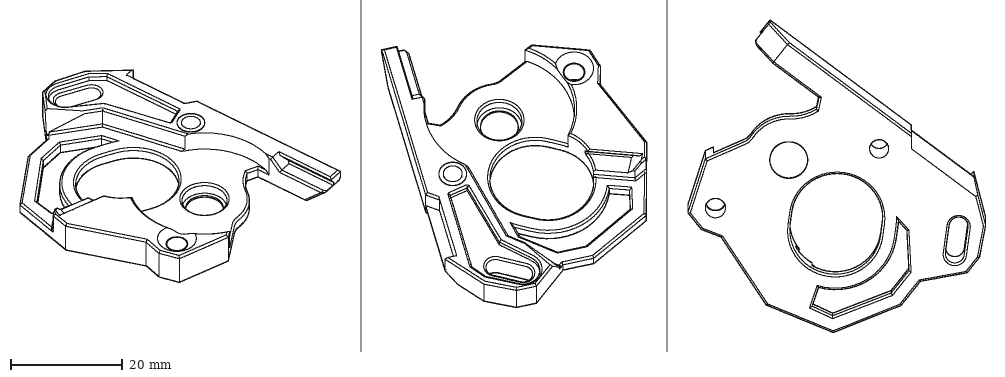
import cadquery as cq
import math

PLATE_TOP = 6.5
BOSS_TOP = 6.6
FLOOR_TOP = 2.6
LEDGE_TOP = 4.45
EDGE = 0.4
CLEAR = 5.0

LENGTH = 56.0
DEPTH = 41.37
ARM_FRONT = 36.5
ARM_SLOPE_TOP = 4.3
LEFT_CORNERS = [(42.85, 4.05), (39.2, 5.1), (25.0, 0), (12.3, 3.3), (5.7, 14.75), (5.7, 20.45),
                (0, 26.85), (0, 30.55), (2.75, 35.9), (9.65, DEPTH)]
THROAT = (41.1, ARM_FRONT)
THROAT_TIP = (40.15, 34.5)
PAD_RIGHT = (50.35, 14.95)
PAD_FOOT = (46.7, 5.05)

SEAT = (38.35, 24.0)
SEAT_BORE = 6.8
SEAT_COUNTERBORE = 8.1
SEAT_LIP = 0.4
SEAT_WALL_RADIUS = 8.1
SEAT_WALL_MIDDLE = 25.0
THROAT_TANGENT = 54.0
FLANK_NORMAL = 28.0
FLANK_FILLET = 3.0
RECESS_RADIUS = 13.55

LEAN = 60.0
OPENING = (24.25, 19.7)
OPENING_RADIUS = 8.2
OPENING_TRAVEL = 2.4
RING_RADIUS = 11.1
WINDOW = [(8.55, 20.75), (8.55, 15.5), (14.3, 5.75), (18.3, 4.9), (21.5, 14.0),
          (18.0, 27.4), (13.45, 26.5)]

BOSS = (26.75, 35.6)
BOSS_DIAMETER = 5.0
BOSS_HOLE = 3.4
COUNTERSINK = (43.35, 8.85)
COUNTERSINK_DIAMETER = 7.0
COUNTERSINK_FLOOR = 3.9
COUNTERSINK_HOLE = 3.6
COUNTERSINK_DEPTH = 1.3

SLOT = (5.23, 30.57)
SLOT_WIDTH = 3.4
SLOT_TRAVEL = 5.2
POCKET_DEPTH = 1.3
POCKET_RADIUS = 3.0
POCKET_FOOT_NORMAL = -45.0
POCKET_CORNERS = [(10.8, 31.0), (23.5, 33.75), (22.7, 37.1), (6.85, 37.1), (4.3, 35.2)]

RIM_ARC_END = (31.0, 33.1)
RIM_CORNER = (11.75, 29.15)
RIM_FOOT = (4.3, 20.45)
FACET = [(3.6, 23.4, PLATE_TOP), (10.1, 27.25, PLATE_TOP), (5.15, 21.2, FLOOR_TOP)]
PAD_WALL_ANGLE = 70.0
PAD_WALL_LENGTH = 12.0
RECESS_INNER = (36.0, 24.0)
PAD_WALL_CORNER = (20.1, 3.45)
PAD_FOOT_ANGLE = -60.0
PAD_WALL_FOOT = (21.45, 1.05)

LIP_HEIGHT = 0.5
LIP_OVERHANG = 0.25
UNDERCUT = 0.6
ROOT_HEIGHT = 0.4
ROOT_SLOPE = 0.3
ARM_LEDGE_START = 44.1
ARM_LEDGE_WIDTH = 2.25
PAD_LEDGE_WIDTH = 3.05
PAD_LEDGE_SETBACK = 1.1
PAD_RAMP_SKEW = 5.4

NOTCH_DEPTH = 2.15
NOTCH_START = 9.65
NOTCH_END = 22.2
NOTCH_MOUTH = 23.85
NOTCH_UNDERSIDE = 2.2


def polar(center, radius, degrees):
    """Point at a distance and direction from a center."""
    angle = math.radians(degrees)
    return (center[0] + radius * math.cos(angle), center[1] + radius * math.sin(angle))


def prism(points, bottom, top):
    return cq.Workplane("XY").workplane(offset=bottom).polyline(points).close().extrude(top - bottom)


def obround(center, travel, radius, bottom, height, taper=0):
    sketch = cq.Workplane("XY").workplane(offset=bottom).center(*center)
    return sketch.slot2D(travel + 2 * radius, 2 * radius, LEAN).extrude(height, taper=taper)


def leaning_hole(center, travel, radius, top):
    """Obround hole up to the given height, chamfered at the underside."""
    hole = obround(center, travel, radius, 0, top)
    return hole.union(obround(center, travel, radius + EDGE, 0, EDGE, 45))


def cylinder(center, diameter, bottom, top):
    sketch = cq.Workplane("XY").workplane(offset=bottom).center(*center)
    return sketch.circle(diameter / 2).extrude(top - bottom)


def arc_middle(center, radius, start, end):
    """Middle point of the short arc from start to end."""
    angle = math.atan2(start[1] + end[1] - 2 * center[1], start[0] + end[0] - 2 * center[0])
    return polar(center, radius, math.degrees(angle))


def throat_arc():
    """Concave arc from the throat tip that runs tangent into the wall around the seat."""
    angle = math.radians(THROAT_TANGENT)
    dx, dy = THROAT_TIP[0] - SEAT[0], THROAT_TIP[1] - SEAT[1]
    along = dx * math.cos(angle) + dy * math.sin(angle)
    wall = SEAT_WALL_RADIUS
    radius = (wall**2 - 2 * wall * along + dx**2 + dy**2) / (2 * (along - wall))
    center = polar(SEAT, wall + radius, THROAT_TANGENT)
    end = polar(SEAT, wall, THROAT_TANGENT)
    return end, arc_middle(center, radius, THROAT_TIP, end)


def flank_arc():
    """Concave fillet between the wall around the seat and the straight flank of the pad."""
    normal = math.radians(FLANK_NORMAL)
    dx, dy = PAD_RIGHT[0] - SEAT[0], PAD_RIGHT[1] - SEAT[1]
    flank_distance = dx * math.cos(normal) + dy * math.sin(normal)
    center_distance = SEAT_WALL_RADIUS + FLANK_FILLET
    swing = math.degrees(math.acos((flank_distance + FLANK_FILLET) / center_distance))
    center = polar(SEAT, center_distance, FLANK_NORMAL - swing)
    start = polar(SEAT, SEAT_WALL_RADIUS, FLANK_NORMAL - swing)
    end = polar(center, FLANK_FILLET, FLANK_NORMAL + 180)
    return start, arc_middle(center, FLANK_FILLET, start, end), end


def outline(height):
    """Whole contour of the part, extruded from a chamfered underside."""
    throat_end, throat_middle = throat_arc()
    flank_start, flank_middle, flank_end = flank_arc()
    profile = (
        cq.Workplane("XY")
        .moveTo(LENGTH, DEPTH)
        .lineTo(LENGTH, ARM_FRONT)
        .lineTo(*THROAT)
        .lineTo(*THROAT_TIP)
        .threePointArc(throat_middle, throat_end)
        .threePointArc(polar(SEAT, SEAT_WALL_RADIUS, SEAT_WALL_MIDDLE), flank_start)
        .threePointArc(flank_middle, flank_end)
        .lineTo(*PAD_RIGHT)
        .lineTo(*PAD_FOOT)
    )
    for corner in LEFT_CORNERS:
        profile = profile.lineTo(*corner)
    body = profile.close().extrude(height)
    slope = (
        cq.Workplane("XZ", origin=(0, DEPTH + CLEAR, 0))
        .polyline([(LENGTH - ARM_SLOPE_TOP, 0), (LENGTH + CLEAR, ARM_SLOPE_TOP + CLEAR), (LENGTH + CLEAR, 0)])
        .close()
        .extrude(DEPTH)
    )
    body = body.cut(slope)
    slope_sides = body.edges(cq.selectors.ParallelDirSelector(cq.Vector(1, 0, 1)))
    return body.faces("<Z").edges("not >X").add(slope_sides).chamfer(EDGE)


def flared_prism(points, bottom, top):
    """Prism that opens out at 45 degrees over its last EDGE of height."""
    straight = prism(points, bottom, top)
    flare = (
        cq.Workplane("XY").workplane(offset=top - EDGE).polyline(points).close().extrude(EDGE, taper=-45)
    )
    return straight.union(flare)


def floor_plate():
    """Thin plate over the whole contour, with the openings that its chamfered top edges follow."""
    ring = obround(OPENING, OPENING_TRAVEL, RING_RADIUS, 0, FLOOR_TOP)
    plate = outline(FLOOR_TOP).cut(prism(WINDOW, 0, FLOOR_TOP).cut(ring))
    window_edges = plate.faces("<Z").val().innerWires()[0].Edges()
    plate = plate.newObject(window_edges).chamfer(EDGE)
    plate = plate.cut(leaning_hole(OPENING, OPENING_TRAVEL, OPENING_RADIUS, FLOOR_TOP))
    plate = plate.cut(cylinder(SEAT, SEAT_COUNTERBORE, SEAT_LIP, FLOOR_TOP))
    plate = plate.cut(cylinder(SEAT, SEAT_BORE, 0, FLOOR_TOP))
    return plate.faces(">Z").edges().chamfer(EDGE)


def floor_recess():
    """Space above the open floor, between the rim wall, the pad wall and the round recess."""
    wall_start = polar(PAD_WALL_CORNER, PAD_WALL_LENGTH, PAD_WALL_ANGLE)
    corners = [RIM_ARC_END, RIM_CORNER, RIM_FOOT, (-CLEAR, RIM_FOOT[1] - CLEAR), (PAD_WALL_FOOT[0], -CLEAR),
               PAD_WALL_FOOT, PAD_WALL_CORNER, wall_start, RECESS_INNER]
    recess = flared_prism(corners, FLOOR_TOP, PLATE_TOP)
    base = cq.Workplane("XY").workplane(offset=FLOOR_TOP + EDGE).polyline(corners).close()
    slopes = prism(corners, FLOOR_TOP, FLOOR_TOP + EDGE).cut(base.extrude(-EDGE, taper=45))
    recess = recess.cut(slopes).union(prism(corners, -CLEAR, FLOOR_TOP))
    disc = cylinder(SEAT, 2 * RECESS_RADIUS, -CLEAR, PLATE_TOP + CLEAR)
    cone = (
        cq.Workplane("XY").workplane(offset=PLATE_TOP - EDGE).center(*SEAT)
        .circle(RECESS_RADIUS).extrude(EDGE, taper=-45)
    )
    pad_side = cq.Workplane("XY").box(LENGTH, SEAT[1], PLATE_TOP + EDGE, centered=False)
    return recess.union(disc).union(cone.intersect(pad_side))


def facet_cutter():
    """Solid above the sloping facet at the foot of the rim wall."""
    left, right, foot = (cq.Vector(*point) for point in FACET)
    outer = left + (left - right)
    lower = foot + (foot - right)
    face = cq.Face.makeFromWires(cq.Wire.makePolygon([outer, right, lower], close=True))
    normal = (right - foot).cross(left - foot).normalized()
    return cq.Workplane(obj=cq.Solid.extrudeLinear(face, normal * CLEAR))


def ledge_cutter(length, width, ramp_skew):
    """Undercut step along +X with its lip on the X axis and the ledge on the -Y side.

    From the origin a 45 degree ramp descends from the top face to the ledge.
    """
    drop = PLATE_TOP - LEDGE_TOP
    section = [(UNDERCUT - ROOT_SLOPE, LEDGE_TOP), (UNDERCUT, LEDGE_TOP + ROOT_HEIGHT),
               (-LIP_OVERHANG, PLATE_TOP - LIP_HEIGHT), (0, PLATE_TOP),
               (0, PLATE_TOP + CLEAR), (-width, PLATE_TOP + CLEAR), (-width, LEDGE_TOP)]
    step = cq.Workplane("YZ", origin=(-CLEAR, 0, 0)).polyline(section).close().extrude(length + CLEAR)
    ramp = (
        cq.Workplane("XZ", origin=(0, CLEAR, 0))
        .polyline([(-CLEAR, PLATE_TOP + CLEAR), (drop, LEDGE_TOP), (2 * length, LEDGE_TOP),
                   (2 * length, PLATE_TOP + CLEAR)])
        .close().extrude(width + 3 * CLEAR)
        .rotate((0, 0, 0), (0, 0, 1), ramp_skew)
    )
    return step.intersect(ramp)


def cut_arm_ledge(body):
    """Ledge at the free end of the arm, its front edge and ramp chamfered."""
    cutter = ledge_cutter(LENGTH, ARM_LEDGE_WIDTH + CLEAR, 0)
    body = body.cut(cutter.translate((ARM_LEDGE_START, ARM_FRONT + ARM_LEDGE_WIDTH, 0)))
    ledge_edges = cq.selectors.BoxSelector(
        (ARM_LEDGE_START, ARM_FRONT - EDGE / 2, LEDGE_TOP - EDGE / 2),
        (LENGTH - EDGE / 2, ARM_FRONT + EDGE / 2, PLATE_TOP - EDGE / 2),
    )
    return body.edges(ledge_edges).chamfer(EDGE)


def cut_pad_ledge(body):
    """Ledge along the pad wall, open to the central opening and ramped at its outer end."""
    ramp_top = polar(PAD_WALL_CORNER, -PAD_LEDGE_SETBACK, PAD_WALL_ANGLE)
    lip = polar(ramp_top, PAD_LEDGE_WIDTH, PAD_WALL_ANGLE - 90)
    reach = PAD_LEDGE_WIDTH + CLEAR / 2
    cutter = ledge_cutter(PAD_WALL_LENGTH, reach, PAD_RAMP_SKEW).mirror("XZ")
    cutter = cutter.rotate((0, 0, 0), (0, 0, 1), PAD_WALL_ANGLE).translate((*lip, 0))
    ledge_rim = obround(OPENING, OPENING_TRAVEL, OPENING_RADIUS, LEDGE_TOP - EDGE, EDGE, -45)
    strip = cutter.translate((0, 0, -EDGE))
    body = body.cut(cutter).cut(ledge_rim.intersect(strip))
    ramp_side = cq.selectors.NearestToPointSelector(
        (*polar(PAD_WALL_CORNER, PAD_LEDGE_SETBACK / 2, PAD_FOOT_ANGLE), (LEDGE_TOP + PLATE_TOP) / 2)
    )
    return body.edges(ramp_side).chamfer(EDGE)


def cut_back_notch(body):
    """Notch in the back edge, with a slanted end and a beveled underside."""
    inner = DEPTH - NOTCH_DEPTH
    slant = (NOTCH_MOUTH - NOTCH_END) / NOTCH_DEPTH
    far_end = NOTCH_END + slant * (NOTCH_DEPTH + CLEAR)
    outer = DEPTH + CLEAR
    corners = [(NOTCH_START, inner), (NOTCH_END, inner), (far_end, outer), (NOTCH_START, outer)]
    body = body.cut(prism(corners, FLOOR_TOP, PLATE_TOP))
    end_middle = ((NOTCH_END + NOTCH_MOUTH) / 2, (inner + DEPTH) / 2, PLATE_TOP)
    end_edge = cq.selectors.NearestToPointSelector(end_middle)
    body = body.edges(end_edge).chamfer(EDGE)
    bevel_section = [(DEPTH - NOTCH_UNDERSIDE, 0), (outer, NOTCH_UNDERSIDE + CLEAR), (outer, 0)]
    bevel = cq.Workplane("YZ").polyline(bevel_section).close().extrude(LENGTH)
    under_corners = [(0, inner - CLEAR), (NOTCH_END, inner), (far_end, outer), (0, outer)]
    return body.cut(bevel.intersect(prism(under_corners, -CLEAR, FLOOR_TOP)))


def slot_pocket():
    """Shallow pocket with chamfered rim, rounded about the lower end of the slot."""
    slot_end = polar(SLOT, -SLOT_TRAVEL / 2, LEAN)
    left = polar(slot_end, POCKET_RADIUS, LEAN + 90)
    right = polar(slot_end, POCKET_RADIUS, POCKET_FOOT_NORMAL)
    middle = polar(slot_end, POCKET_RADIUS, (LEAN + 90 + POCKET_FOOT_NORMAL + 360) / 2)

    def profile(bottom):
        sketch = cq.Workplane("XY").workplane(offset=bottom).moveTo(*left).threePointArc(middle, right)
        for corner in POCKET_CORNERS:
            sketch = sketch.lineTo(*corner)
        return sketch.close()

    pocket = profile(PLATE_TOP - POCKET_DEPTH).extrude(POCKET_DEPTH)
    return pocket.union(profile(PLATE_TOP - EDGE).extrude(EDGE, taper=-45))


def slot():
    """Obround through slot in the floor of the pocket."""
    floor = PLATE_TOP - POCKET_DEPTH
    through = leaning_hole(SLOT, SLOT_TRAVEL, SLOT_WIDTH / 2, floor)
    return through.union(obround(SLOT, SLOT_TRAVEL, SLOT_WIDTH / 2, floor - EDGE, EDGE, -45))


def countersink():
    """Conical seat and screw hole in the corner pad."""
    narrowing = math.degrees(math.atan((COUNTERSINK_DIAMETER - COUNTERSINK_FLOOR) / 2 / COUNTERSINK_DEPTH))
    cone = (
        cq.Workplane("XY").workplane(offset=PLATE_TOP - COUNTERSINK_DEPTH).center(*COUNTERSINK)
        .circle(COUNTERSINK_FLOOR / 2).extrude(COUNTERSINK_DEPTH, taper=-narrowing)
    )
    return cone.union(cylinder(COUNTERSINK, COUNTERSINK_HOLE, 0, PLATE_TOP))


def raised_body():
    """Rim, arm and pad standing above the floor."""
    body = outline(PLATE_TOP).faces(">Z").edges().chamfer(EDGE)
    body = body.cut(floor_recess()).cut(facet_cutter())
    body = body.cut(leaning_hole(OPENING, OPENING_TRAVEL, OPENING_RADIUS, PLATE_TOP))
    body = body.cut(obround(OPENING, OPENING_TRAVEL, OPENING_RADIUS, PLATE_TOP - EDGE, EDGE, -45))
    return cut_pad_ledge(cut_arm_ledge(body))


def add_boss(part):
    """Low ring-shaped pad on the rim with a hole through the whole part."""
    part = part.union(cylinder(BOSS, BOSS_DIAMETER, PLATE_TOP - EDGE, BOSS_TOP))
    return part.cut(cylinder(BOSS, BOSS_HOLE, 0, BOSS_TOP))


part = floor_plate().union(raised_body())
part = cut_back_notch(part)
part = part.cut(slot_pocket()).cut(slot()).cut(countersink())
result = add_boss(part)